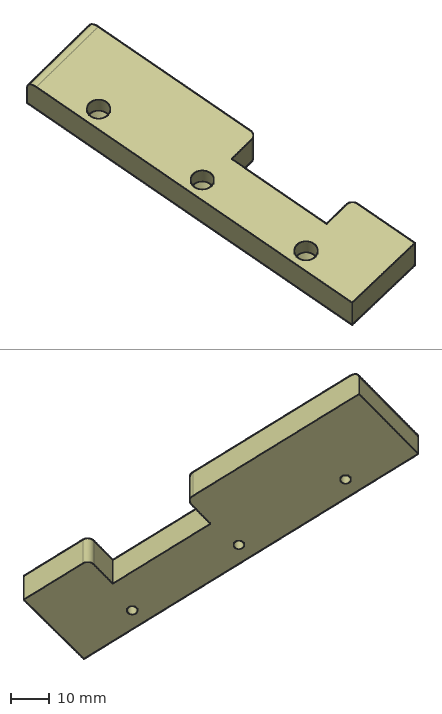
import cadquery as cq

length = 110.0
width = 25.0
height = 10.0
end_round = 3.1

end_lean = 0.3

notch_left = 56.5
notch_right = 88.5
notch_floor = 15.0
mouth_round = 2.0

hole_diameter = 2.8
head_diameter = 6.0
head_depth = 5.0
seat_depth = (head_diameter - hole_diameter) / 2
hole_pitch = 35.0
hole_from_front = 5.0
hole_count = 3


def bar_body():
    """Notched outline raised to full height, with the top of the -X end rounded."""
    outline = (
        cq.Workplane("XY")
        .moveTo(0, 0)
        .lineTo(length - end_lean, 0)
        .lineTo(length, width)
        .lineTo(notch_right, width)
        .lineTo(notch_right, notch_floor)
        .lineTo(notch_left, notch_floor)
        .lineTo(notch_left, width)
        .lineTo(0, width)
        .close()
    )
    body = outline.extrude(height)
    for mouth_x in (notch_left, notch_right):
        corner = cq.selectors.NearestToPointSelector((mouth_x, width, height / 2))
        body = body.edges("|Z").edges(corner).fillet(mouth_round)
    return body.faces("<X").edges(">Z").fillet(end_round)


def screw_hole(x):
    """Cutter for one hole: a straight bore, a conical seat and a cylindrical head recess."""
    hole_radius = hole_diameter / 2
    head_radius = head_diameter / 2
    seat_top = height - head_depth
    half_profile = (
        cq.Workplane("XZ")
        .moveTo(0, 0)
        .lineTo(hole_radius, 0)
        .lineTo(hole_radius, seat_top - seat_depth)
        .lineTo(head_radius, seat_top)
        .lineTo(head_radius, height)
        .lineTo(0, height)
        .close()
    )
    return half_profile.revolve(360, (0, 0), (0, 1)).translate((x, hole_from_front, 0))


result = bar_body()
first_hole_x = (length - (hole_count - 1) * hole_pitch) / 2
for index in range(hole_count):
    result = result.cut(screw_hole(first_hole_x + index * hole_pitch))